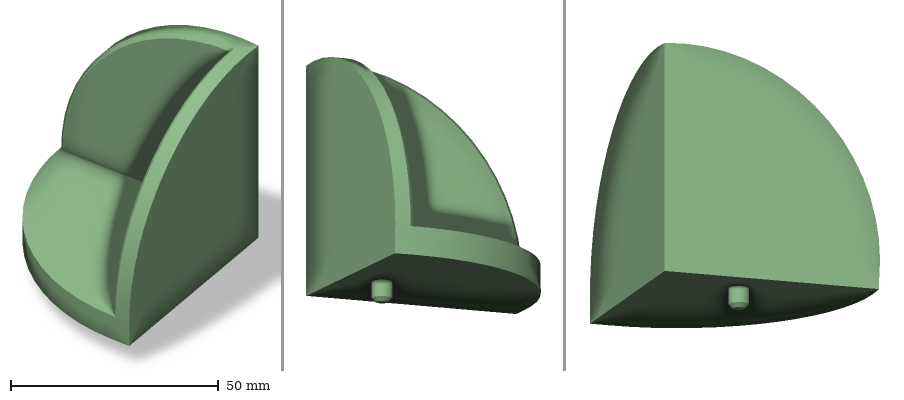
import cadquery as cq

edge_radius = 49.95
plate_thickness = 5.0
floor_extra = 2.0
rim_chamfer = 1.0

pin_diameter = 5.0
pin_length = 5.0
pin_chamfer = 1.0
pin_x = -17.5
pin_y = -5.3

overall_width = edge_radius + plate_thickness
floor_thickness = plate_thickness + floor_extra


def wall(plane, inner_face):
    """Wall disc standing outward from the plane, chamfered on its inner rim."""
    disc = cq.Workplane(plane).circle(edge_radius).extrude(plate_thickness)
    return disc.faces(inner_face).chamfer(rim_chamfer)


def corner_block(bottom_z, height):
    """Square block bounded by the flat outer sides of the corner."""
    block = cq.Workplane("XY").box(overall_width, overall_width, height, centered=False)
    return block.translate((-edge_radius, -edge_radius, bottom_z))


def walls():
    """Back and side walls, trimmed to the outer sides of the corner."""
    outward_y_plane = cq.Plane(origin=(0, 0, 0), xDir=(1, 0, 0), normal=(0, 1, 0))
    back_wall = wall(outward_y_plane, "<Y")
    side_wall = wall("YZ", "<X")
    return back_wall.union(side_wall).intersect(corner_block(-plate_thickness, overall_width))


def floor():
    """Round floor plate, with a flat front end below the side wall."""
    disc = cq.Workplane("XY").circle(edge_radius).extrude(-floor_thickness)
    plate = disc.intersect(corner_block(-floor_thickness, floor_thickness))
    flat_end = cq.Workplane("XY").box(plate_thickness, overall_width, floor_thickness, centered=False)
    return plate.union(flat_end.translate((0, -edge_radius, -floor_thickness)))


def pin():
    """Locating pin under the floor, chamfered at its tip."""
    return (
        cq.Workplane("XY", origin=(pin_x, pin_y, -floor_thickness))
        .circle(pin_diameter / 2)
        .extrude(-pin_length)
        .faces("<Z")
        .chamfer(pin_chamfer)
    )


result = floor().union(walls()).union(pin())